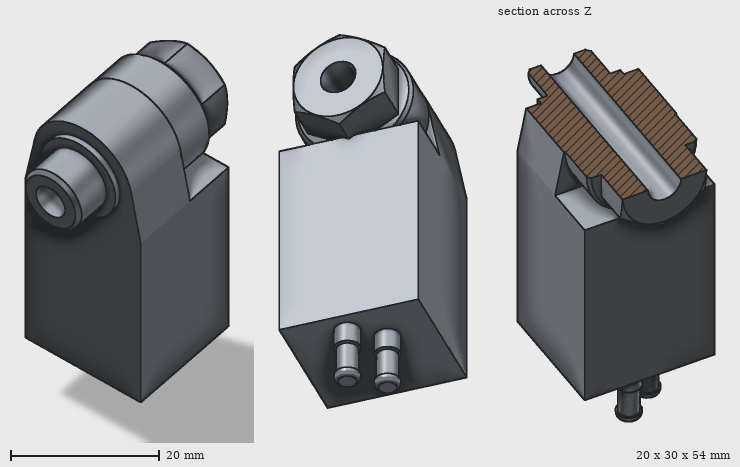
import cadquery as cq
import math


total_height = 54.0
block_width = 20.0
block_depth = 18.9
block_bottom = 8.6
shoulder_z = 38.5
lug_depth = 10.6
eye_diameter = 16.95
eye_radius = eye_diameter / 2
eye_z = total_height - eye_radius

sleeve_diameter = 16.9
sleeve_length = 6.55
sleeve_chamfer = 0.5
sleeve_end = lug_depth + sleeve_length
hex_length = 5.95
hex_across_flats = 12.95
hex_across_corners = hex_across_flats / math.cos(math.radians(30))
hex_face_diameter = 12.8
hex_chamfer_angle = 30.0
washer_diameter = 12.8
washer_thickness = 0.95
shank_diameter = 9.7
shank_tip_diameter = 8.6
shank_reach = 6.95
shank_chamfer_length = 0.65
bore_diameter = 5.0

pin_positions = [(-3.2, 12.4), (1.4, 15.6)]
pin_collar_diameter = 3.6
pin_neck_diameter = 3.0
pin_tip_diameter = 2.5
pin_collar_length = 3.0
pin_step_length = 0.2
pin_nose_diameter = 3.25
pin_nose_height = 0.295
pin_rounding_height = 0.9
pin_flange_top = 1.1


def y_cylinder(diameter, start, length):
    """Cylinder on the bolt axis, from Y = start towards +Y."""
    plane = cq.Plane(origin=(0, start, eye_z), xDir=(1, 0, 0), normal=(0, 1, 0))
    return cq.Workplane(plane).circle(diameter / 2).extrude(length)


def make_block():
    """Square block below the shoulder."""
    height = shoulder_z - block_bottom
    corner = (-block_width / 2, 0, block_bottom)
    return cq.Workplane("XY").box(block_width, block_depth, height, centered=False).translate(corner)


def make_lug_flanks():
    """Sloping sides of the lug, tangent to its round eye."""
    half_width = block_width / 2
    drop = eye_z - shoulder_z
    corner_distance = math.hypot(half_width, drop)
    tangent_angle = math.acos(eye_radius / corner_distance) - math.atan2(drop, half_width)
    tangent_x = eye_radius * math.cos(tangent_angle)
    tangent_z = eye_z + eye_radius * math.sin(tangent_angle)
    return (
        cq.Workplane("XZ")
        .moveTo(-half_width, shoulder_z)
        .lineTo(half_width, shoulder_z)
        .lineTo(tangent_x, tangent_z)
        .lineTo(-tangent_x, tangent_z)
        .close()
        .extrude(-lug_depth)
    )


def make_hex_head():
    """Hexagonal head with corners up and down, its outer end turned to a cone."""
    plane = cq.Plane(origin=(0, sleeve_end, eye_z), xDir=(0, 0, 1), normal=(0, 1, 0))
    hexagon = cq.Workplane(plane).polygon(6, hex_across_corners).extrude(hex_length)
    corner_radius = hex_across_corners / 2
    face_radius = hex_face_diameter / 2
    cone_length = (corner_radius - face_radius) * math.tan(math.radians(hex_chamfer_angle))
    turned_blank = (
        cq.Workplane(plane)
        .circle(corner_radius)
        .extrude(hex_length)
        .faces(">Y")
        .chamfer(cone_length, corner_radius - face_radius)
    )
    return hexagon.intersect(turned_blank)


def make_shank():
    """Front end of the bolt, tapered at its tip."""
    chamfer_width = (shank_diameter - shank_tip_diameter) / 2
    shank = y_cylinder(shank_diameter, -shank_reach, shank_reach)
    return shank.faces("<Y").chamfer(shank_chamfer_length, chamfer_width)


def make_pin(x, y):
    """Stepped pin with a collar at the block and a rounded flange at the tip."""
    collar_radius = pin_collar_diameter / 2
    neck_radius = pin_neck_diameter / 2
    collar_bottom = block_bottom - pin_collar_length
    tip_radius = pin_tip_diameter / 2
    pin = (
        cq.Workplane("XZ")
        .lineTo(tip_radius, 0)
        .threePointArc((pin_nose_diameter / 2, pin_nose_height), (collar_radius, pin_rounding_height))
        .lineTo(collar_radius, pin_flange_top)
        .lineTo(neck_radius, pin_flange_top)
        .lineTo(neck_radius, collar_bottom - pin_step_length)
        .lineTo(collar_radius, collar_bottom)
        .lineTo(collar_radius, block_bottom)
        .lineTo(0, block_bottom)
        .close()
        .revolve(360, (0, 0), (0, 1))
    )
    return pin.translate((x, y, 0))


eye = y_cylinder(eye_diameter, 0, lug_depth)
sleeve = y_cylinder(sleeve_diameter, 0, sleeve_end).faces(">Y").chamfer(sleeve_chamfer)
washer = y_cylinder(washer_diameter, -washer_thickness, washer_thickness)
bore = y_cylinder(bore_diameter, -shank_reach, shank_reach + sleeve_end + hex_length)

result = make_block().union(make_lug_flanks()).union(eye).union(sleeve).union(make_hex_head())
result = result.union(washer).union(make_shank())
for pin_x, pin_y in pin_positions:
    result = result.union(make_pin(pin_x, pin_y))
result = result.cut(bore)